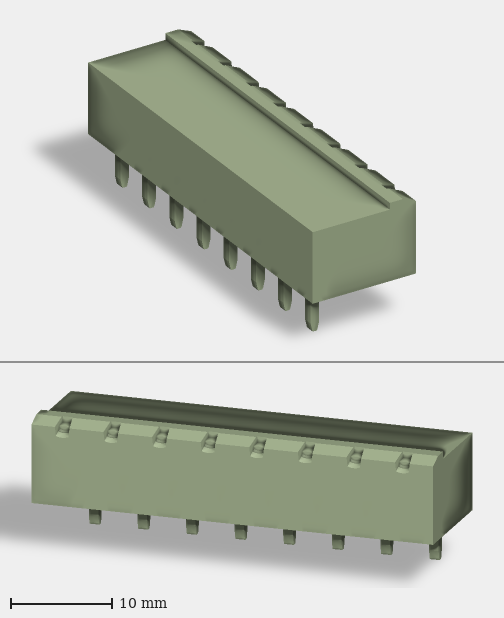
import cadquery as cq

length = 41.95
depth = 12.0
shelf_height = 8.0
ridge_rise = 0.75
ridge_depth = 3.0
bevel_depth = 1.5
bevel_drop = 0.65
ridge_height = shelf_height + ridge_rise
bevel_height = ridge_height - bevel_drop

contact_count = 8
contact_pitch = 5.07
first_contact_x = (length - (contact_count - 1) * contact_pitch) / 2
contact_xs = [first_contact_x + i * contact_pitch for i in range(contact_count)]

pin_length = 4.82
pin_thickness = 1.0
pin_y = 1.95
tip_length = 1.0
tip_thickness = 0.65
tip_bevel_height = 0.15
tip_bevel_inset = 0.1

notch_depth = 1.7
notch_rear_width = 1.68
notch_front_width = 1.05
notch_height = 2.1
notch_wall_lean = 0.25
notch_cutter_width = 2.1

floor_rear_drop = 0.92
floor_rise = 0.35
trough_axis_z = bevel_height + 0.65
mouth_radius = 1.68
bore_radius = 1.35
bore_end_radius = 1.17
funnel_depth = 0.5
bore_depth = 0.67
trough_depth = 0.85


def make_housing():
    """Extrude the stepped Y-Z outline along the full length."""
    ridge_front = depth - ridge_depth
    outline = [
        (0, 0),
        (depth, 0),
        (depth, bevel_height),
        (depth - bevel_depth, ridge_height),
        (ridge_front, ridge_height),
        (ridge_front, shelf_height),
        (0, shelf_height),
    ]
    return cq.Workplane("YZ").polyline(outline).close().extrude(length)


def make_pin(x):
    """One pin hanging below the housing, tapered front and back at its tip."""
    half = pin_thickness / 2
    half_tip = tip_thickness / 2
    tip_start = tip_length - pin_length
    bevel_start = tip_bevel_height - pin_length
    half_end = half_tip - tip_bevel_inset
    outline = [
        (pin_y - half, 0),
        (pin_y - half, tip_start),
        (pin_y - half_tip, bevel_start),
        (pin_y - half_end, -pin_length),
        (pin_y + half_end, -pin_length),
        (pin_y + half_tip, bevel_start),
        (pin_y + half, tip_start),
        (pin_y + half, 0),
    ]
    plane = cq.Workplane("YZ", origin=(x, 0, 0))
    return plane.polyline(outline).close().extrude(half, both=True)


def make_trough(x):
    """Funnel, bore and tapered end, revolved about an axis running forward."""
    axis = cq.Workplane("XY", origin=(x, depth, trough_axis_z))
    half_section = [
        (0, 0),
        (mouth_radius, 0),
        (bore_radius, -funnel_depth),
        (bore_radius, -bore_depth),
        (bore_end_radius, -trough_depth),
        (0, -trough_depth),
    ]
    return axis.polyline(half_section).close().revolve(360, (0, 0, 0), (0, 1, 0))


def make_floor_cutter(x):
    """Space above the climbing floor, up to the ridge top."""
    front_y = depth - notch_depth
    floor_z = ridge_height - floor_rear_drop
    outline = [
        (depth, floor_z),
        (depth, ridge_height),
        (front_y, ridge_height),
        (front_y, floor_z + floor_rise),
    ]
    plane = cq.Workplane("YZ", origin=(x, 0, 0))
    return plane.polyline(outline).close().extrude(notch_cutter_width / 2, both=True)


def notch_wire(x, z, inset):
    """Plan outline of the notch, wider at the rear face than at its front end."""
    front_y = depth - notch_depth + inset
    half_rear = notch_rear_width / 2 - inset
    half_front = notch_front_width / 2 - inset
    corners = [
        cq.Vector(x - half_rear, depth, z),
        cq.Vector(x + half_rear, depth, z),
        cq.Vector(x + half_front, front_y, z),
        cq.Vector(x - half_front, front_y, z),
    ]
    return cq.Wire.makePolygon(corners, close=True)


def make_socket(x):
    """Trough and floor space, bounded by the leaning walls of the notch."""
    bottom = notch_wire(x, ridge_height - notch_height, notch_wall_lean)
    top = notch_wire(x, ridge_height, 0)
    walls = cq.Workplane(cq.Solid.makeLoft([bottom, top], True))
    return walls.intersect(make_trough(x).union(make_floor_cutter(x)))


result = make_housing()
for contact_x in contact_xs:
    result = result.union(make_pin(contact_x))
    result = result.cut(make_socket(contact_x))